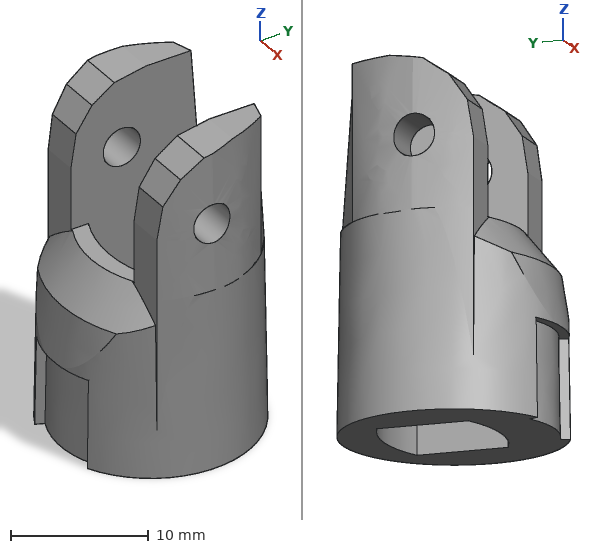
import cadquery as cq
import math

base_radius = 8.5
base_height = 15.15
total_height = 27.0
draft_angle = 1.0
oversize = 40.0

slot_width = 8.5
arm_front_y = -4.16
pin_radius = 1.6
pin_y = 0.22
pin_z = 20.75

opening_back_y = 5.35
opening_front_y = -3.6
opening_arc_rise = 0.95

relief_axis_y = 3.95
rim_front_y = -5.1
shoulder_y = -7.65
shoulder_z = 12.05
tongue_tip_y = -8.35

recess_width = 7.1
recess_depth = 0.75
recess_height = 7.5


def cone_radius(z):
    """Radius of the drafted body at height z."""
    return base_radius - z * math.tan(math.radians(draft_angle))


arm_inner_x = slot_width / 2
arm_front_x = 7.33
arm_side_y = 0.3
arm_corner = (5.93, 5.7)
root_radius = cone_radius(base_height)
root_front_mid = (8.01, -2.0)
root_side = (math.sqrt(root_radius**2 - arm_side_y**2), arm_side_y)
root_back_mid_y = 3.1
root_back_mid = (math.sqrt(root_radius**2 - root_back_mid_y**2), root_back_mid_y)
root_back_y = math.sqrt(root_radius**2 - arm_inner_x**2)
tip_front_mid = (7.66, -2.3)
tip_side = (7.86, arm_side_y)
tip_back_mid = (7.41, 2.35)
tip_back_y = 6.18

arm_nose = [
    (arm_front_y, 20.4),
    (-3.72, 23.2),
    (-2.35, 25.2),
    (-0.43, 26.5),
    (2.3, total_height),
]


def cone(height, inset=0):
    """Drafted round body standing on z = 0, its surface moved inward by inset."""
    return (
        cq.Workplane("XZ")
        .lineTo(base_radius - inset, 0)
        .lineTo(cone_radius(height) - inset, height)
        .lineTo(0, height)
        .close()
        .revolve(360, (0, 0), (0, 1))
    )


def front_relief():
    """Material in front of the arms lying outside the rim chamfer and the tongue below it."""
    kept = (
        cq.Workplane("XZ")
        .lineTo(oversize, 0)
        .lineTo(oversize, recess_height)
        .lineTo(relief_axis_y - tongue_tip_y, recess_height)
        .lineTo(relief_axis_y - shoulder_y, shoulder_z)
        .lineTo(relief_axis_y - rim_front_y, base_height)
        .lineTo(0, base_height)
        .close()
        .revolve(360, (0, 0), (0, 1))
        .translate((0, relief_axis_y, 0))
    )
    front_block = cq.Workplane("XY").box(oversize, oversize, base_height, centered=(True, False, False))
    return front_block.translate((0, arm_front_y - oversize, 0)).cut(kept)


def front_recess():
    """Shallow recess with radial side walls and a floor parallel to the drafted body."""
    half_angle = math.asin(recess_width / 2 / base_radius)
    side_x = oversize * math.tan(half_angle)
    wedge = (
        cq.Workplane("XY")
        .polyline([(0, 0), (side_x, -oversize), (-side_x, -oversize)])
        .close()
        .extrude(recess_height)
    )
    return wedge.cut(cone(recess_height, recess_depth))


def opening():
    """Through opening between the arms."""
    half = slot_width / 2
    return (
        cq.Workplane("XY")
        .moveTo(-half, opening_front_y + opening_arc_rise)
        .threePointArc((0, opening_front_y), (half, opening_front_y + opening_arc_rise))
        .lineTo(half, opening_back_y - opening_arc_rise)
        .threePointArc((0, opening_back_y), (-half, opening_back_y - opening_arc_rise))
        .close()
        .extrude(base_height)
    )


def arm_outline(plane, front_mid, side, back_mid, back_y):
    """Closed outline of one arm: bowed front and back outer stretches, flat elsewhere."""
    return (
        plane.moveTo(arm_inner_x, arm_front_y)
        .lineTo(arm_front_x, arm_front_y)
        .threePointArc(front_mid, side)
        .threePointArc(back_mid, arm_corner)
        .lineTo(arm_inner_x, back_y)
        .close()
    )


def arm_side_profile():
    """Side shape of the arms, with the faceted front top corner."""
    return (
        cq.Workplane("YZ")
        .polyline([(arm_front_y, 0)] + arm_nose + [(base_radius, total_height), (base_radius, 0)])
        .close()
        .extrude(oversize)
    )


def arm():
    """Arm on the +X side: upright below the rim, tapering above it."""
    root_args = (root_front_mid, root_side, root_back_mid, root_back_y)
    root = arm_outline(cq.Workplane("XY"), *root_args).extrude(base_height)
    blade = arm_outline(cq.Workplane("XY").workplane(offset=base_height), *root_args)
    blade = blade.workplane(offset=total_height - base_height)
    blade = arm_outline(blade, tip_front_mid, tip_side, tip_back_mid, tip_back_y).loft(ruled=True)
    return blade.intersect(arm_side_profile()).union(root)


def pin_hole():
    """Cross hole through both arms."""
    return (
        cq.Workplane("YZ")
        .center(pin_y, pin_z)
        .circle(pin_radius)
        .extrude(oversize / 2, both=True)
    )


right_arm = arm()
result = cone(base_height).cut(front_relief())
result = result.union(right_arm).union(right_arm.mirror("YZ"))
result = result.cut(front_recess()).cut(opening()).cut(pin_hole())